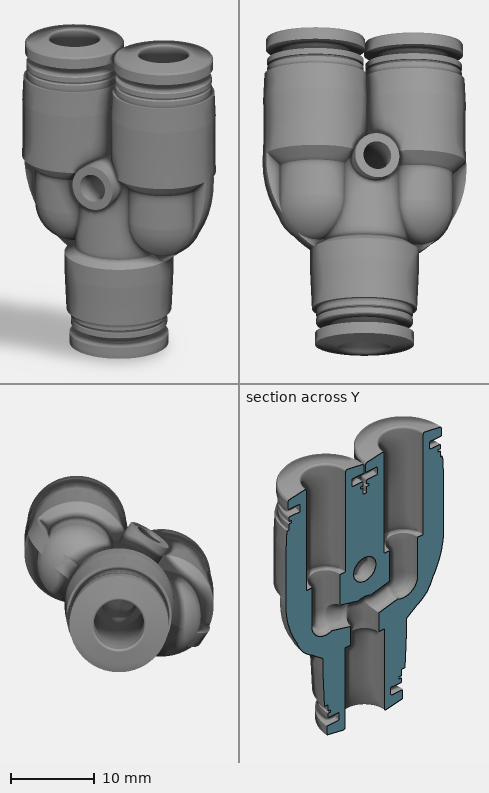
import cadquery as cq
import math

TOTAL_HEIGHT = 38.0
TOTAL_WIDTH = 24.5
PORT_SPACING = 12.0
PORT_X = PORT_SPACING / 2

FLANGE_DIA = 11.8
FLANGE_DEPTH = 1.82
CROWN_DEPTH = 0.45
BEVEL_WIDTH = 0.15
BEVEL_TOP_DEPTH = 0.38
BEVEL_END_DEPTH = 0.6
NECK_DIA = 8.1
NECK_ROOT_CHAMFER = 0.1
COLLAR_DIA = 11.5
COLLAR_DEPTH = 2.9
COLLAR_CHAMFER = 0.1
GROOVE_DIA = 10.75
GROOVE_DEPTH = 3.6
GROOVE_WIDTH = 0.25
BODY_DEPTH = 4.8
TUBE_DIA = 6.0
MOUTH_DIA = 6.57

UPPER_BODY_DIA = TOTAL_WIDTH - PORT_SPACING
UPPER_BODY_TIP_DIA = 12.15
UPPER_TAPER_DIA = 12.45
UPPER_TAPER_Z = 30.2
UPPER_SHOULDER_Z = 23.1
STEM_DIA = 9.42
STEM_TOP_Z = 21.65
STEM_BALL_Z = 17.35

LOWER_BODY_DIA = 13.0
LOWER_BODY_TIP_DIA = 12.55
LOWER_TAPER_Z = 9.65
LOWER_SHOULDER_Z = 11.95

TRUNK_BASE_DIA = 10.53
TRUNK_TOP_DIA = 9.95
TRUNK_BASE_Z = 12.75

RIB_THICKNESS = 2.0
RIB_ARC_Z = 22.35

BOSS_DIA = 5.4
BOSS_HOLE_DIA = 3.4
BOSS_LENGTH = 13.5
BOSS_Z = 22.08

BORE_DIA = 4.3
BRANCH_DIA = 3.3
BRANCH_ANGLE = 13.5
JUNCTION_Z = STEM_BALL_Z - PORT_X * math.tan(math.radians(BRANCH_ANGLE))


def cartridge(bevelled):
    """Release collar and sleeve of a port: mouth at Z = 0, opening toward +Z."""
    flange_r = FLANGE_DIA / 2
    collar_r = COLLAR_DIA / 2
    groove_r = GROOVE_DIA / 2
    neck_r = NECK_DIA / 2
    groove_end = GROOVE_DEPTH + GROOVE_WIDTH
    outline = cq.Workplane("XZ").lineTo(MOUTH_DIA / 2, 0)
    if bevelled:
        outline = outline.lineTo(flange_r - BEVEL_WIDTH, -BEVEL_TOP_DEPTH)
        outline = outline.lineTo(flange_r, -BEVEL_END_DEPTH)
    else:
        outline = outline.lineTo(flange_r, -CROWN_DEPTH)
    return (
        outline
        .lineTo(flange_r, -FLANGE_DEPTH)
        .lineTo(neck_r + NECK_ROOT_CHAMFER, -FLANGE_DEPTH)
        .lineTo(neck_r, -FLANGE_DEPTH - NECK_ROOT_CHAMFER)
        .lineTo(neck_r, -COLLAR_DEPTH)
        .lineTo(collar_r - COLLAR_CHAMFER, -COLLAR_DEPTH)
        .lineTo(collar_r, -COLLAR_DEPTH - COLLAR_CHAMFER)
        .lineTo(collar_r, -GROOVE_DEPTH)
        .lineTo(groove_r, -GROOVE_DEPTH)
        .lineTo(groove_r, -groove_end)
        .lineTo(collar_r - COLLAR_CHAMFER, -groove_end)
        .lineTo(collar_r, -groove_end - COLLAR_CHAMFER)
        .lineTo(collar_r, -BODY_DEPTH)
        .lineTo(0, -BODY_DEPTH)
        .close()
        .revolve(360, (0, 0, 0), (0, 1, 0))
    )


def upper_port():
    body_r = UPPER_BODY_DIA / 2
    stem_r = STEM_DIA / 2
    body_top_z = TOTAL_HEIGHT - BODY_DEPTH
    body = (
        cq.Workplane("XZ")
        .moveTo(0, STEM_BALL_Z - stem_r)
        .radiusArc((stem_r, STEM_BALL_Z), -stem_r)
        .lineTo(stem_r, STEM_TOP_Z)
        .lineTo(body_r, UPPER_SHOULDER_Z)
        .lineTo(UPPER_TAPER_DIA / 2, UPPER_TAPER_Z)
        .lineTo(UPPER_BODY_TIP_DIA / 2, body_top_z)
        .lineTo(0, body_top_z)
        .close()
        .revolve(360, (0, 0, 0), (0, 1, 0))
    )
    return body.union(cartridge(bevelled=True).translate((0, 0, TOTAL_HEIGHT)))


def lower_port():
    body_r = LOWER_BODY_DIA / 2
    body = (
        cq.Workplane("XZ")
        .moveTo(0, UPPER_SHOULDER_Z)
        .lineTo(TRUNK_TOP_DIA / 2, UPPER_SHOULDER_Z)
        .lineTo(TRUNK_BASE_DIA / 2, TRUNK_BASE_Z)
        .lineTo(body_r, LOWER_SHOULDER_Z)
        .lineTo(body_r, LOWER_TAPER_Z)
        .lineTo(LOWER_BODY_TIP_DIA / 2, BODY_DEPTH)
        .lineTo(0, BODY_DEPTH)
        .close()
        .revolve(360, (0, 0, 0), (0, 1, 0))
    )
    return body.union(cartridge(bevelled=False).rotate((0, 0, 0), (1, 0, 0), 180))


def rib():
    """Plate from the centre plane out to the +X side, curving in to the lower body."""
    outer_x = TOTAL_WIDTH / 2
    return (
        cq.Workplane("XZ")
        .moveTo(0, UPPER_SHOULDER_Z)
        .lineTo(outer_x, UPPER_SHOULDER_Z)
        .lineTo(outer_x, RIB_ARC_Z)
        .tangentArcPoint((LOWER_BODY_DIA / 2, LOWER_SHOULDER_Z), relative=False)
        .lineTo(0, LOWER_SHOULDER_Z)
        .close()
        .extrude(RIB_THICKNESS / 2, both=True)
    )


def cross_cylinder(diameter):
    """Cylinder along Y at the boss position, as long as the boss."""
    return (
        cq.Workplane("XZ")
        .center(0, BOSS_Z)
        .circle(diameter / 2)
        .extrude(BOSS_LENGTH / 2, both=True)
    )


def port_bore(stop_depth, ball_depth):
    """Tube socket with a rounded mouth, then a narrower bore with a spherical end."""
    tube_r = TUBE_DIA / 2
    mouth_r = MOUTH_DIA / 2
    bore_r = BORE_DIA / 2
    return (
        cq.Workplane("XZ")
        .lineTo(mouth_r, 0)
        .radiusArc((tube_r, tube_r - mouth_r), -(mouth_r - tube_r))
        .lineTo(tube_r, -stop_depth)
        .lineTo(bore_r, -stop_depth)
        .lineTo(bore_r, -ball_depth)
        .radiusArc((0, -ball_depth - bore_r), bore_r)
        .close()
        .revolve(360, (0, 0, 0), (0, 1, 0))
    )


def branch_passage():
    """Sloping passage from the centre axis to the end of the +X port bore."""
    rise = STEM_BALL_Z - JUNCTION_Z
    start = cq.Vector(0, 0, JUNCTION_Z)
    direction = cq.Vector(PORT_X, 0, rise)
    passage = cq.Solid.makeCylinder(BRANCH_DIA / 2, direction.Length, start, direction)
    return cq.Workplane(obj=passage)


upper_bore = port_bore(TOTAL_HEIGHT - UPPER_SHOULDER_Z, TOTAL_HEIGHT - STEM_BALL_Z)
upper_bore = upper_bore.translate((0, 0, TOTAL_HEIGHT))
lower_bore = port_bore(LOWER_SHOULDER_Z, JUNCTION_Z).rotate((0, 0, 0), (1, 0, 0), 180)

result = lower_port()
for x in (-PORT_X, PORT_X):
    result = result.union(upper_port().translate((x, 0, 0)))
result = result.union(rib()).union(rib().mirror("YZ"))
result = result.union(cross_cylinder(BOSS_DIA))

result = result.cut(cross_cylinder(BOSS_HOLE_DIA)).cut(lower_bore)
for x in (-PORT_X, PORT_X):
    result = result.cut(upper_bore.translate((x, 0, 0)))
result = result.cut(branch_passage()).cut(branch_passage().mirror("YZ"))